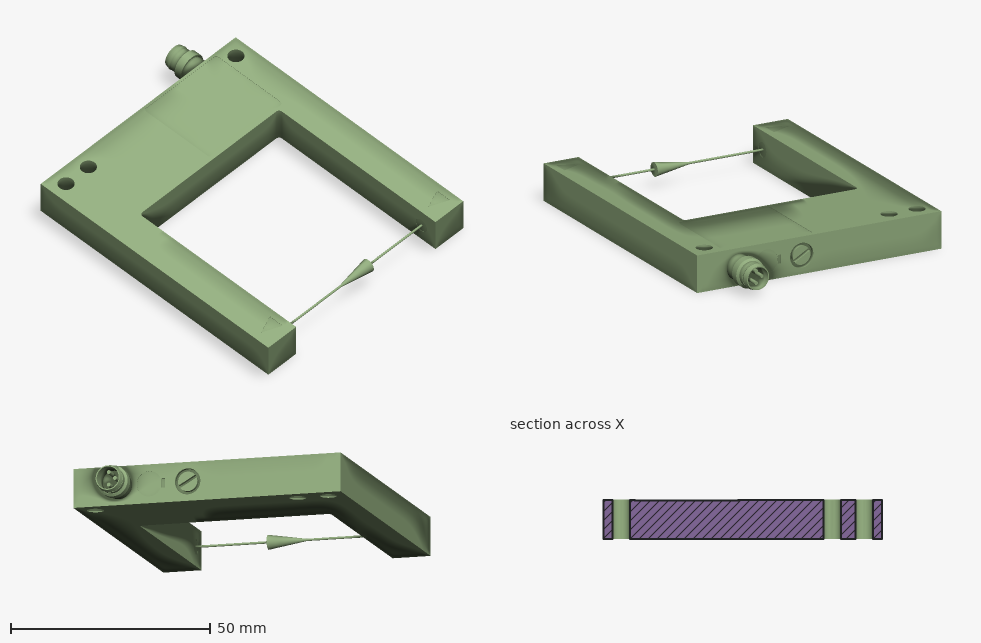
import cadquery as cq
import math

total_length = 90.0
connector_length = 10.0
housing_width = 70.0
thickness = 10.0
arm_width = 10.0
spine_width = 25.0
inner_corner_radius = 1.0
mid_height = thickness / 2
spine_end = connector_length + spine_width

mount_hole_diameter = 4.3
mount_hole_inset = 4.5
second_hole_y = 12.5

mark_depth = 0.1
label_length = 23.5
label_width = 26.0
label_corner_radius = 1.0
label_inset = 0.8
label_top_y = 62.2
arrow_width = 4.5
arrow_length = 5.5
arrow_tip_inset = 2.4
lens_diameter = 4.0

button_diameter = 6.5
button_y = 50.1
window_width = 0.9
window_height = 2.4
window_depth = 0.4

adjuster_y = 40.05
adjuster_outer_diameter = 6.7
adjuster_head_diameter = 5.0
adjuster_ring_depth = 1.0
adjuster_slot_width = 0.8
adjuster_slot_angle = 30.0

connector_y = 58.05
tip_radius = 3.15
thread_radius = 6.9 / 2
groove_radius = 6.5 / 2
groove_start = 1.35
groove_full_start = 1.9
groove_end = 2.25
barrel_radius = 6.7 / 2
collar_start = 3.6
collar_chamfer = 0.5
collar_radius = 8.0 / 2
collar_end = 6.3
relief_radius = 6.75 / 2
relief_end = 6.75
neck_radius = 6.9 / 2
socket_diameter = 5.8
socket_depth = 5.4
pin_diameter = 1.0
pin_circle_radius = 1.6
pin_length = 4.5

beam_x = total_length - 4.95
beam_diameter = 0.6
cone_diameter = 3.8
cone_base_y = 41.0
cone_length = 10.0


def face_plane(x, y):
    """Plane at depth x on the -X side, with its normal pointing into the part."""
    return cq.Workplane(cq.Plane(origin=(x, y, mid_height), xDir=(0, 1, 0), normal=(1, 0, 0)))


def make_block():
    block = cq.Workplane("XY").box(
        total_length - connector_length, housing_width, thickness, centered=False
    ).translate((connector_length, 0, 0))
    opening = (
        cq.Workplane("XY")
        .box(total_length - spine_end, housing_width - 2 * arm_width, thickness, centered=False)
        .translate((spine_end, arm_width, 0))
        .edges("|Z and <X")
        .fillet(inner_corner_radius)
    )
    hole_x = connector_length + mount_hole_inset
    hole_places = [
        (hole_x, y) for y in (mount_hole_inset, second_hole_y, housing_width - mount_hole_inset)
    ]
    holes = cq.Workplane("XY").pushPoints(hole_places).circle(mount_hole_diameter / 2).extrude(thickness)
    return block.cut(opening).cut(holes)


def make_label_recess():
    return (
        cq.Workplane("XY", origin=(connector_length + label_inset, label_top_y - label_width, thickness))
        .rect(label_length, label_width, centered=False)
        .extrude(-mark_depth)
        .edges("|Z")
        .fillet(label_corner_radius)
    )


def make_arrow_recess(tip_y):
    base_y = tip_y + arrow_length
    return (
        cq.Workplane("XY", origin=(0, 0, thickness))
        .polyline([
            (beam_x, tip_y),
            (beam_x + arrow_width / 2, base_y),
            (beam_x - arrow_width / 2, base_y),
        ])
        .close()
        .extrude(-mark_depth)
    )


def make_lens_recesses():
    """One disc across the opening that bites into the inner face of both arms."""
    start_y = arm_width - mark_depth
    length = housing_width - 2 * start_y
    start = cq.Vector(beam_x, start_y, mid_height)
    return cq.Workplane(cq.Solid.makeCylinder(lens_diameter / 2, length, start, cq.Vector(0, 1, 0)))


def make_button_recess():
    button = face_plane(connector_length, button_y).circle(button_diameter / 2).extrude(mark_depth)
    window_y = button_y - (button_diameter + window_width) / 2
    window = face_plane(connector_length, window_y).rect(window_width, window_height).extrude(window_depth)
    return button.union(window)


def make_adjuster_recess():
    ring = (
        face_plane(connector_length, adjuster_y)
        .circle(adjuster_outer_diameter / 2)
        .circle(adjuster_head_diameter / 2)
        .extrude(adjuster_ring_depth)
    )
    slot = (
        face_plane(connector_length, adjuster_y)
        .rect(adjuster_head_diameter, adjuster_slot_width)
        .extrude(adjuster_ring_depth)
        .rotate((0, adjuster_y, mid_height), (1, adjuster_y, mid_height), -adjuster_slot_angle)
    )
    return ring.union(slot)


def make_connector():
    profile = [
        (0, 0),
        (0, tip_radius),
        (groove_start, thread_radius),
        (groove_full_start, groove_radius),
        (groove_end, groove_radius),
        (groove_end, barrel_radius),
        (collar_start, barrel_radius),
        (collar_start, collar_radius - collar_chamfer),
        (collar_start + collar_chamfer, collar_radius),
        (collar_end, collar_radius),
        (collar_end, relief_radius),
        (relief_end, relief_radius),
        (relief_end, neck_radius),
        (connector_length, neck_radius),
        (connector_length, 0),
    ]
    shell = (
        cq.Workplane("XY", origin=(0, connector_y, mid_height))
        .polyline(profile)
        .close()
        .revolve(360, (0, 0), (1, 0))
    )
    socket = face_plane(0, connector_y).circle(socket_diameter / 2).extrude(socket_depth)
    pin_places = [
        (pin_circle_radius * math.cos(angle), pin_circle_radius * math.sin(angle))
        for angle in (math.pi / 2, math.pi, 3 * math.pi / 2)
    ]
    pins = (
        face_plane(socket_depth - pin_length, connector_y)
        .pushPoints(pin_places)
        .circle(pin_diameter / 2)
        .extrude(pin_length)
    )
    return shell.cut(socket).union(pins)


def make_housing():
    housing = make_block().cut(make_label_recess())
    for tip_y in (arrow_tip_inset, housing_width - arm_width + arrow_tip_inset):
        housing = housing.cut(make_arrow_recess(tip_y))
    housing = housing.cut(make_lens_recesses())
    housing = housing.cut(make_button_recess())
    housing = housing.cut(make_adjuster_recess())
    return housing.union(make_connector())


def make_beam():
    """Thin rod between the lenses, with a cone that points toward -Y."""
    rod_start = arm_width - mark_depth
    rod_end = housing_width - rod_start
    cone_tip_y = cone_base_y - cone_length
    profile = [
        (0, rod_start),
        (beam_diameter / 2, rod_start),
        (beam_diameter / 2, cone_tip_y),
        (cone_diameter / 2, cone_base_y),
        (beam_diameter / 2, cone_base_y),
        (beam_diameter / 2, rod_end),
        (0, rod_end),
    ]
    return (
        cq.Workplane("XY", origin=(beam_x, 0, mid_height))
        .polyline(profile)
        .close()
        .revolve(360, (0, 0), (0, 1))
    )


housing = make_housing()
beam = make_beam()
result = cq.Compound.makeCompound([housing.val(), beam.val()])